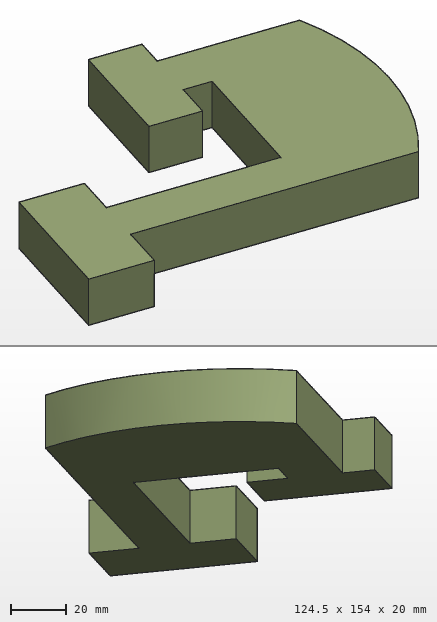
import cadquery as cq

thickness = 20.0
total_length = 154.0

left_foot_width = 47.8
left_foot_bottom = 63.3
left_foot_top = 84.9
left_leg_start = 12.0
left_leg_width = 20.5

right_foot_end = 124.5
right_foot_width = 55.0
right_foot_height = 26.3
right_leg_end = 105.8
right_leg_width = 19.1

head_bottom = 96.5
arch_rise = 12.0

left_leg_end = left_leg_start + left_leg_width
right_leg_start = right_leg_end - right_leg_width
right_foot_start = right_foot_end - right_foot_width
shoulder = total_length - arch_rise
arch_center_x = (left_leg_start + right_leg_end) / 2

outline = (
    cq.Workplane("XY")
    .moveTo(0, left_foot_bottom)
    .lineTo(left_foot_width, left_foot_bottom)
    .lineTo(left_foot_width, left_foot_top)
    .lineTo(left_leg_end, left_foot_top)
    .lineTo(left_leg_end, head_bottom)
    .lineTo(right_leg_start, head_bottom)
    .lineTo(right_leg_start, right_foot_height)
    .lineTo(right_foot_start, right_foot_height)
    .lineTo(right_foot_start, 0)
    .lineTo(right_foot_end, 0)
    .lineTo(right_foot_end, right_foot_height)
    .lineTo(right_leg_end, right_foot_height)
    .lineTo(right_leg_end, shoulder)
    .threePointArc((arch_center_x, total_length), (left_leg_start, shoulder))
    .lineTo(left_leg_start, left_foot_top)
    .lineTo(0, left_foot_top)
    .close()
)

result = outline.extrude(thickness)